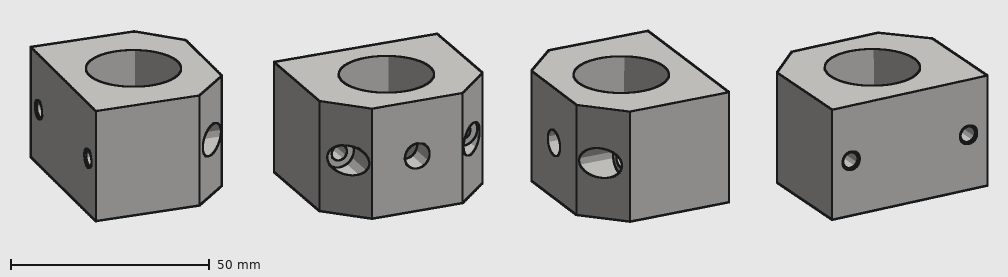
import cadquery as cq

width = 45.0
depth = 38.0
height = 30.0
corner_cut = 10.0

bore_diameter = 24.0

cross_hole_diameter = 6.8

screw_spacing = 34.0
screw_diameter = 4.2
countersink_diameter = 5.0
countersink_depth = (countersink_diameter - screw_diameter) / 2
head_diameter = 8.0
head_seat_depth = corner_cut


def cylinder_along_y(x, diameter, y_start, length):
    """Cylinder at mid height, running from y_start towards +Y."""
    return cq.Workplane(
        cq.Solid.makeCylinder(diameter / 2, length, cq.Vector(x, y_start, 0), cq.Vector(0, 1, 0))
    )


def screw_hole(x):
    """Through hole, countersunk at the front and counterbored from the back."""
    front = -depth / 2
    shank = cylinder_along_y(x, screw_diameter, front, depth)
    head = cylinder_along_y(x, head_diameter, depth / 2 - head_seat_depth, head_seat_depth)
    countersink = cq.Solid.makeCone(
        countersink_diameter / 2,
        screw_diameter / 2,
        countersink_depth,
        cq.Vector(x, front, 0),
        cq.Vector(0, 1, 0),
    )
    return shank.union(head).union(cq.Workplane(countersink))


block = cq.Workplane("XY").box(width, depth, height)
block = block.edges("|Z and >Y").chamfer(corner_cut)

block = block.faces(">Z").workplane().hole(bore_diameter)

result = block.cut(cylinder_along_y(0, cross_hole_diameter, 0, depth / 2))
for side in (-1, 1):
    result = result.cut(screw_hole(side * screw_spacing / 2))